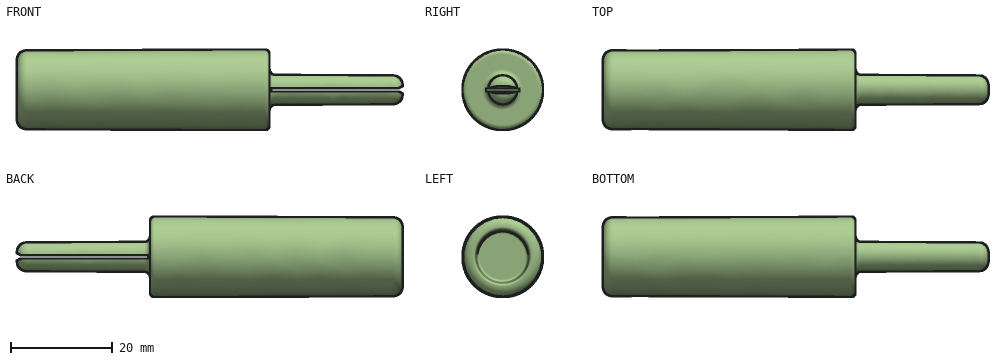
import cadquery as cq
import math

barrel_radius = 8.0
barrel_rim_radius = 7.83
barrel_length = 50.0
rim_round = 2.0
shoulder_round = 1.0

bore_mouth_radius = 5.38
bore_end_radius = 5.0
bore_depth = 40.0
mouth_round = barrel_rim_radius - rim_round - bore_mouth_radius
floor_round = 0.5

pin_root_radius = 3.0
pin_tip_radius = 2.88
pin_length = 26.3
pin_root_round = 1.0
pin_tip_round = 2.0

slot_width = 0.6
slot_root_gap = 0.3
slot_flare_depth = 0.45
slot_flare_length = 0.85

tip_x = barrel_length + pin_length
slot_root_x = barrel_length + slot_root_gap


def add_round(profile, centre, radius, start_angle, end_angle):
    """Extend the profile with an arc about centre, angles in degrees from +X."""
    def arc_point(angle):
        turn = math.radians(angle)
        return (centre[0] + radius * math.cos(turn), centre[1] + radius * math.sin(turn))

    middle_angle = (start_angle + end_angle) / 2
    return profile.threePointArc(arc_point(middle_angle), arc_point(end_angle))


def make_turned_body():
    """Barrel, bore and pin as one half-section (x, radius) revolved about the X axis."""
    rim_centre = (rim_round, barrel_rim_radius - rim_round)
    shoulder_centre = (barrel_length - shoulder_round, barrel_radius - shoulder_round)
    root_centre = (barrel_length + pin_root_round, pin_root_radius + pin_root_round)
    tip_centre = (tip_x - pin_tip_round, pin_tip_radius - pin_tip_round)
    floor_centre = (bore_depth - floor_round, bore_end_radius - floor_round)
    mouth_centre = (mouth_round, bore_mouth_radius + mouth_round)

    profile = cq.Workplane("XZ").moveTo(0, rim_centre[1])
    profile = add_round(profile, rim_centre, rim_round, 180, 90)
    profile = profile.lineTo(shoulder_centre[0], barrel_radius)
    profile = add_round(profile, shoulder_centre, shoulder_round, 90, 0)
    profile = profile.lineTo(barrel_length, root_centre[1])
    profile = add_round(profile, root_centre, pin_root_round, 180, 270)
    profile = profile.lineTo(tip_centre[0], pin_tip_radius)
    profile = add_round(profile, tip_centre, pin_tip_round, 90, 0)

    profile = profile.lineTo(tip_x, 0).lineTo(bore_depth, 0)
    profile = profile.lineTo(bore_depth, floor_centre[1])
    profile = add_round(profile, floor_centre, floor_round, 0, 90)
    profile = profile.lineTo(mouth_centre[0], bore_mouth_radius)
    profile = add_round(profile, mouth_centre, mouth_round, 270, 180)
    return profile.close().revolve(360, (0, 0, 0), (1, 0, 0))


def make_slot():
    """Slot outline in the XZ plane, extruded along Y through the whole pin."""
    half_width = slot_width / 2
    flare_start_x = tip_x - slot_flare_length
    flare_half_width = half_width + slot_flare_depth
    outline = [
        (slot_root_x, -half_width),
        (flare_start_x, -half_width),
        (tip_x, -flare_half_width),
        (tip_x, flare_half_width),
        (flare_start_x, half_width),
        (slot_root_x, half_width),
    ]
    return cq.Workplane("XZ").polyline(outline).close().extrude(barrel_radius, both=True)


result = make_turned_body().cut(make_slot())